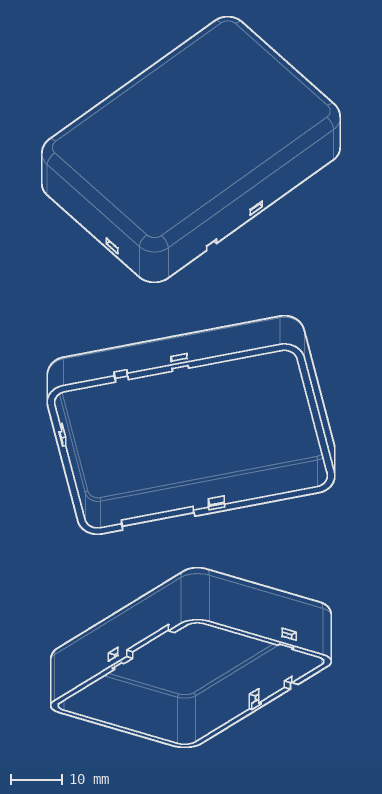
import cadquery as cq

width = 35.0
length = 51.5
height = 12.0
corner_radius = 4.0
top_radius = 2.0
wall = 1.5

sill_height = 1.4
window_height = 1.75
sill_thickness = 0.9
side_window_width = 3.2
side_window_y = 1.5
end_window_width = 3.3
end_window_x = 5.55

wide_notch_width = 14.4
wide_notch_y = -10.35
narrow_notch_width = 2.6
narrow_notch_y = -10.25


def rounded_block(x_size, y_size, z_size, side_radius, upper_radius):
    """Block standing on Z = 0 with rounded corners and a rounded top edge."""
    block = cq.Workplane("XY").box(x_size, y_size, z_size, centered=(True, True, False))
    return block.edges("|Z").fillet(side_radius).faces(">Z").edges().fillet(upper_radius)


def wall_cutter(x_size, y_size, z_size, x, y, z_bottom):
    """Rectangular cutter centred on (x, y), with its underside at z_bottom."""
    cutter = cq.Workplane("XY").box(x_size, y_size, z_size, centered=(True, True, False))
    return cutter.translate((x, y, z_bottom))


cutter_depth = 3 * wall
side_x = width / 2
end_y = -length / 2

relief_depth = wall
relief_x = side_x - sill_thickness - relief_depth / 2
relief_y = end_y + sill_thickness + relief_depth / 2

outer = rounded_block(width, length, height, corner_radius, top_radius)
cavity = rounded_block(
    width - 2 * wall,
    length - 2 * wall,
    height - wall,
    corner_radius - wall,
    top_radius - wall,
)
result = outer.cut(cavity)

for side in (-1, 1):
    result = result.cut(
        wall_cutter(cutter_depth, side_window_width, window_height, side * side_x, side_window_y, sill_height)
    )
    result = result.cut(
        wall_cutter(relief_depth, side_window_width, sill_height, side * relief_x, side_window_y, 0)
    )

result = result.cut(
    wall_cutter(end_window_width, cutter_depth, window_height, end_window_x, end_y, sill_height)
)
result = result.cut(
    wall_cutter(end_window_width, relief_depth, sill_height, end_window_x, relief_y, 0)
)

for x, y, notch_width in (
    (-side_x, wide_notch_y, wide_notch_width),
    (side_x, narrow_notch_y, narrow_notch_width),
):
    result = result.cut(wall_cutter(cutter_depth, notch_width, sill_height, x, y, 0))